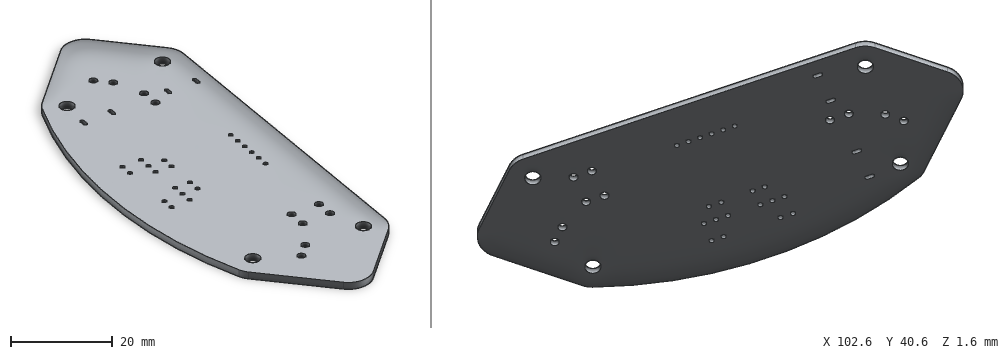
import cadquery as cq
import math

width = 102.6
depth = 40.6
thickness = 1.6
corner_radius = 5.0
bottom_arc_radius = 94.4
tip_y = 24.7

mount_diameter = 3.2
lead_diameter = 1.7
pin_diameter = 1.0
header_diameter = 0.95

slot_length = 2.0
slot_width = 0.8
slot_x = -26.0
slot_ys = [10.6, 17.2, 30.6, 37.3]

upper_mount = (35.4, 35.6)
lower_mount = (32.7, 11.2)

header_count = 6
header_pitch = 2.5
header_y = 32.1

lead_points = [
    (-28.0, 26.3), (-24.0, 26.3),
    (24.0, 26.3), (27.9, 26.3),
    (24.0, 32.7), (27.9, 32.7),
    (-37.4, 20.5), (-34.6, 23.4),
    (37.4, 19.6), (34.6, 22.4),
]

pin_rows = [
    (16.2, [-6.0, -3.4]),
    (16.0, [3.4, 6.1]),
    (12.5, [-8.6, -6.1, -3.5, 3.4, 6.0, 8.5]),
    (8.1, [-8.6, -6.0, 6.2, 8.7]),
]


def mirrored(point):
    x, y = point
    return [(-x, y), (x, y)]


def make_plate():
    tip_x = width / 2 + corner_radius * (math.sqrt(2) - 1)
    top_x = tip_x - (depth - tip_y)

    side_offset = tip_x - tip_y
    diagonal_sum = bottom_arc_radius + side_offset
    root = math.sqrt(2 * bottom_arc_radius**2 - diagonal_sum**2)
    bottom_x = (diagonal_sum - root) / 2
    bottom_y = bottom_x - side_offset

    return (
        cq.Workplane("XY")
        .moveTo(-top_x, depth)
        .lineTo(top_x, depth)
        .lineTo(tip_x, tip_y)
        .lineTo(bottom_x, bottom_y)
        .threePointArc((0, 0), (-bottom_x, bottom_y))
        .lineTo(-tip_x, tip_y)
        .close()
        .extrude(thickness)
        .edges("|Z")
        .fillet(corner_radius)
    )


def drill(plate, points, diameter):
    cutter = cq.Workplane("XY").pushPoints(points).circle(diameter / 2).extrude(thickness)
    return plate.cut(cutter)


def cut_slots(plate):
    points = [(slot_x, y) for y in slot_ys]
    cutter = cq.Workplane("XY").pushPoints(points).slot2D(slot_length, slot_width).extrude(thickness)
    return plate.cut(cutter)


header_start = -header_pitch * (header_count - 1) / 2
header_points = [(header_start + i * header_pitch, header_y) for i in range(header_count)]
pin_points = [(x, y) for y, xs in pin_rows for x in xs]

result = make_plate()
result = drill(result, mirrored(upper_mount) + mirrored(lower_mount), mount_diameter)
result = drill(result, lead_points, lead_diameter)
result = drill(result, pin_points, pin_diameter)
result = drill(result, header_points, header_diameter)
result = cut_slots(result)